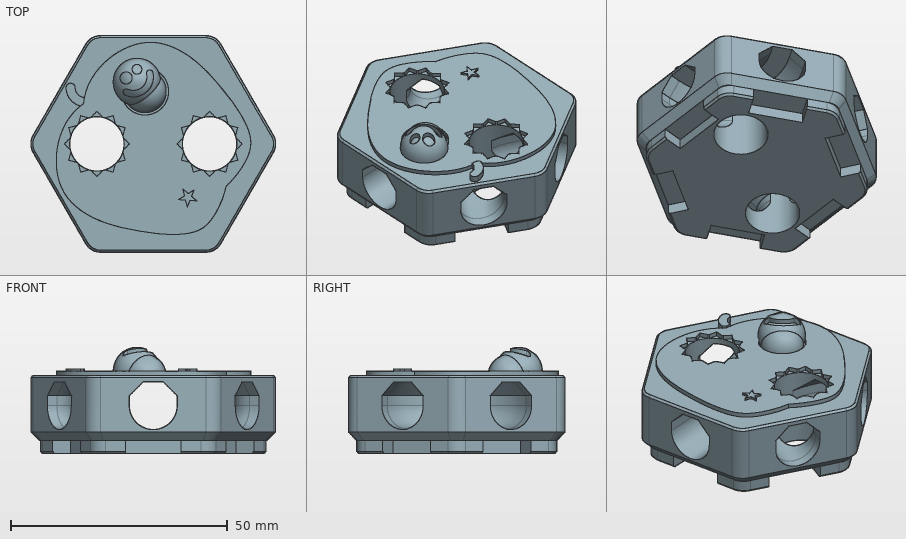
import cadquery as cq
import math

BODY_FLATS = 50.0
BODY_TOP = 18.0
BODY_CORNER_RADIUS = 4.0
TOP_CHAMFER = 0.5
FOOT_FLATS = 46.2
FOOT_HEIGHT = 3.0
FOOT_CHAMFER = 0.5
TAPER_TOP = 5.0
TAPER_CORNER_RADIUS = 3.0
NOTCH_WIDTH = 12.75
NOTCH_DEPTH = 4.8
SIDES = 6
SIDE_ANGLE = 360 / SIDES
HALF_SIDE_ANGLE = SIDE_ANGLE / 2

TUNNEL_RADIUS = 5.5
TUNNEL_HEIGHT = 11.05
TUNNEL_LEAD = 2.5
OCTAGON_HALF_SIDE = TUNNEL_RADIUS * math.tan(math.pi / 8)
BEND_START = BODY_FLATS / 2 - TUNNEL_LEAD
BEND_AXIS_X = BEND_START / math.cos(math.radians(HALF_SIDE_ANGLE))
BEND_RADIUS = BEND_START * math.tan(math.radians(HALF_SIDE_ANGLE))
BEND_ANGLE = 180 - SIDE_ANGLE

HOLE_DIAMETER = 12.5
HOLE_X = BEND_AXIS_X - BEND_RADIUS
STAR_POINT_RADIUS = 7.5
STAR_SQUARES = 3
STAR_DEPTH = 1.0

PLATE_THICKNESS = 1.0
PLATE_TOP = BODY_TOP + PLATE_THICKNESS
APPLE_AXIS_ANGLE = 150.0
APPLE_HALF = [(0, 18.55), (30, 21.95), (60, 23.4), (85, 21.6), (110, 20.35),
              (135, 21.6), (150, 22.5), (162, 21.5), (180, 19.45)]

RELIEF_HEIGHT = 0.5
RELIEF_TOP = PLATE_TOP + RELIEF_HEIGHT
STEM_START = (-19.05, 12.95)
STEM_MIDDLE = (-18.4, 11.0)
STEM_END = (-16.5, 9.75)
STEM_WIDTH = 2.1
STAR_CENTER = (8.0, -12.3)
STAR_TIP_RADIUS = 2.25
STAR_VALLEY_RADIUS = 0.86
STAR_TURN = 50.0
STAR_TIPS = 5

HEAD_CENTER = (-3.75, 14.25)
HEAD_RADIUS = 5.5
NECK_CENTER = (-1.9, 12.1)
NECK_CENTER_HEIGHT = 17.95
NECK_RADIUS = 4.9
BURROW_RADIUS = 5.45
BURROW_DEPTH = 1.0
FACE_DEPTH = 1.0
EYES = [((-6.25, 15.2), 1.4), ((-3.75, 17.2), 1.12)]
SMILE_START = (-0.8, 16.3)
SMILE_MIDDLE = (-2.2, 12.4)
SMILE_END = (-6.2, 11.95)
SMILE_WIDTH = 1.5


def polar(radius, angle):
    """Point at a radius and an angle in degrees."""
    turn = math.radians(angle)
    return (radius * math.cos(turn), radius * math.sin(turn))


def hexagon_wire(flats, corner_radius, height):
    """Outline of a hexagon with rounded corners and two sides parallel to X."""
    core_radius = (flats / 2 - corner_radius) / math.cos(math.radians(HALF_SIDE_ANGLE))
    corners = [polar(core_radius, i * SIDE_ANGLE) for i in range(SIDES)]
    core = cq.Workplane("XY").polyline(corners).close()
    return core.offset2D(corner_radius).translate((0, 0, height)).val()


def hexagon_prism(flats, corner_radius, bottom, top):
    """Upright hexagonal block between two heights."""
    lower = hexagon_wire(flats, corner_radius, bottom)
    return cq.Workplane(cq.Solid.extrudeLinear(lower, [], cq.Vector(0, 0, top - bottom)))


def arc_band(start, middle, end, width, bottom, top):
    """Round-ended band that follows the arc through three points."""
    line = cq.Edge.makeThreePointArc(*[cq.Vector(x, y, bottom) for x, y in (start, middle, end)])
    center = line.arcCenter()
    radius = line.radius()
    half = width / 2

    def beside(point, offset):
        stretch = (radius + offset) / radius
        return (center.x + (point[0] - center.x) * stretch,
                center.y + (point[1] - center.y) * stretch)

    def cap(point):
        return cq.Workplane("XY", origin=(*point, bottom)).circle(half).extrude(top - bottom)

    band = (cq.Workplane("XY", origin=(0, 0, bottom))
            .moveTo(*beside(start, half))
            .threePointArc(beside(middle, half), beside(end, half))
            .lineTo(*beside(end, -half))
            .threePointArc(beside(middle, -half), beside(start, -half))
            .close().extrude(top - bottom))
    return band.union(cap(start)).union(cap(end))


def make_body():
    """Hexagonal block that tapers down to a notched foot."""
    upper = hexagon_prism(BODY_FLATS, BODY_CORNER_RADIUS, TAPER_TOP, BODY_TOP)
    upper = upper.faces(">Z").chamfer(TOP_CHAMFER)
    taper = cq.Workplane(cq.Solid.makeLoft([
        hexagon_wire(FOOT_FLATS, TAPER_CORNER_RADIUS, FOOT_HEIGHT),
        hexagon_wire(BODY_FLATS, BODY_CORNER_RADIUS, TAPER_TOP)], True))
    return upper.union(taper).union(make_foot())


def make_foot():
    """Narrower hexagon, notched in the middle of every side."""
    foot = hexagon_prism(FOOT_FLATS, BODY_CORNER_RADIUS, 0, FOOT_HEIGHT)
    foot = foot.faces("<Z").chamfer(FOOT_CHAMFER)
    notch = (cq.Workplane("XY").center(FOOT_FLATS / 2, 0)
             .rect(2 * NOTCH_DEPTH, NOTCH_WIDTH).extrude(FOOT_HEIGHT))
    for i in range(SIDES):
        foot = foot.cut(notch.rotate((0, 0, 0), (0, 0, 1), HALF_SIDE_ANGLE + i * SIDE_ANGLE))
    return foot


def tunnel_profile(plane):
    """Half-octagon roof over a half-round floor, centred on the plane origin."""
    return (cq.Workplane(plane)
            .moveTo(-TUNNEL_RADIUS, 0)
            .lineTo(-TUNNEL_RADIUS, OCTAGON_HALF_SIDE)
            .lineTo(-OCTAGON_HALF_SIDE, TUNNEL_RADIUS)
            .lineTo(OCTAGON_HALF_SIDE, TUNNEL_RADIUS)
            .lineTo(TUNNEL_RADIUS, OCTAGON_HALF_SIDE)
            .lineTo(TUNNEL_RADIUS, 0)
            .threePointArc((0, -TUNNEL_RADIUS), (-TUNNEL_RADIUS, 0))
            .close())


def straight_tunnel(face_angle, length):
    """Tunnel running inward from the face that points at the given angle."""
    mouth = polar(BODY_FLATS / 2, face_angle)
    inward = polar(1, face_angle + 180)
    plane = cq.Plane(origin=(*mouth, TUNNEL_HEIGHT),
                     xDir=(inward[1], -inward[0], 0), normal=(-inward[0], -inward[1], 0))
    return tunnel_profile(plane).extrude(-length)


def bend_tunnel():
    """Curved tunnel joining the two faces that meet at the +X corner."""
    start = cq.Plane(origin=(BEND_RADIUS, 0, TUNNEL_HEIGHT), xDir=(1, 0, 0), normal=(0, -1, 0))
    bend = tunnel_profile(start).revolve(BEND_ANGLE, (-BEND_RADIUS, 0, 0), (-BEND_RADIUS, 1, 0))
    bend = bend.rotate((0, 0, 0), (0, 0, 1), 180 - BEND_ANGLE / 2).translate((BEND_AXIS_X, 0, 0))
    for face_angle in (-HALF_SIDE_ANGLE, HALF_SIDE_ANGLE):
        bend = bend.union(straight_tunnel(face_angle, TUNNEL_LEAD))
    return bend


def hole_with_star(x):
    """Through hole with a shallow recess of pointed teeth around its mouth."""
    cutter = cq.Workplane("XY").center(x, 0).circle(HOLE_DIAMETER / 2).extrude(PLATE_TOP)
    square = (cq.Workplane("XY", origin=(x, 0, PLATE_TOP - STAR_DEPTH))
              .polygon(4, 2 * STAR_POINT_RADIUS).extrude(STAR_DEPTH))
    for i in range(STAR_SQUARES):
        cutter = cutter.union(square.rotate((x, 0, 0), (x, 0, 1), i * 90 / STAR_SQUARES))
    return cutter


def make_plate():
    """Apple-shaped plate on top of the body, with a crease at each end of its axis."""
    half = [polar(radius, APPLE_AXIS_ANGLE - angle) for angle, radius in APPLE_HALF]
    other = [polar(radius, APPLE_AXIS_ANGLE + angle) for angle, radius in reversed(APPLE_HALF)]
    return (cq.Workplane("XY", origin=(0, 0, BODY_TOP))
            .moveTo(*half[0]).spline(half[1:], includeCurrent=True)
            .spline(other[1:], includeCurrent=True)
            .close().extrude(PLATE_THICKNESS))


def make_star():
    """Small five-pointed star raised on the plate."""
    points = []
    for i in range(STAR_TIPS):
        tip_angle = STAR_TURN + i * 360 / STAR_TIPS
        points.append(polar(STAR_TIP_RADIUS, tip_angle))
        points.append(polar(STAR_VALLEY_RADIUS, tip_angle + 180 / STAR_TIPS))
    outline = cq.Workplane("XY", origin=(*STAR_CENTER, PLATE_TOP)).polyline(points).close()
    return outline.extrude(RELIEF_HEIGHT)


def make_face():
    """Eyes and smile as cutters that reach a constant depth below the head surface."""
    face = arc_band(SMILE_START, SMILE_MIDDLE, SMILE_END, SMILE_WIDTH, PLATE_TOP, PLATE_TOP + HEAD_RADIUS)
    for center, radius in EYES:
        eye = cq.Workplane("XY", origin=(*center, PLATE_TOP)).circle(radius).extrude(HEAD_RADIUS)
        face = face.union(eye)
    core = cq.Workplane("XY", origin=(*HEAD_CENTER, PLATE_TOP)).sphere(HEAD_RADIUS - FACE_DEPTH)
    return face.cut(core)


def make_worm():
    """Ball-shaped head and neck above the body top, with the face sunk in."""
    face = make_face()
    head = cq.Workplane("XY", origin=(*HEAD_CENTER, PLATE_TOP)).sphere(HEAD_RADIUS).cut(face)
    neck = cq.Workplane("XY", origin=(*NECK_CENTER, NECK_CENTER_HEIGHT)).sphere(NECK_RADIUS).cut(face)
    above = (cq.Workplane("XY", origin=(0, 0, BODY_TOP))
             .rect(2 * BODY_FLATS, 2 * BODY_FLATS).extrude(2 * HEAD_RADIUS))
    return neck.intersect(above).union(head.intersect(above))


def make_burrow():
    """Shallow round recess around the neck."""
    return (cq.Workplane("XY", origin=(*NECK_CENTER, PLATE_TOP - BURROW_DEPTH))
            .circle(BURROW_RADIUS).extrude(BURROW_DEPTH))


def make_stem(plate):
    """Curved stem that ends against the edge of the apple plate."""
    stem = arc_band(STEM_START, STEM_MIDDLE, STEM_END, STEM_WIDTH, BODY_TOP, RELIEF_TOP)
    return stem.cut(plate).cut(plate.translate((0, 0, PLATE_THICKNESS)))


def build():
    plate = make_plate()
    part = make_body().union(plate).union(make_stem(plate)).union(make_star())

    bend = bend_tunnel()
    part = part.cut(straight_tunnel(90, BODY_FLATS)).cut(bend).cut(bend.mirror("YZ"))
    for x in (-HOLE_X, HOLE_X):
        part = part.cut(hole_with_star(x))

    return part.cut(make_burrow()).union(make_worm())


result = build()